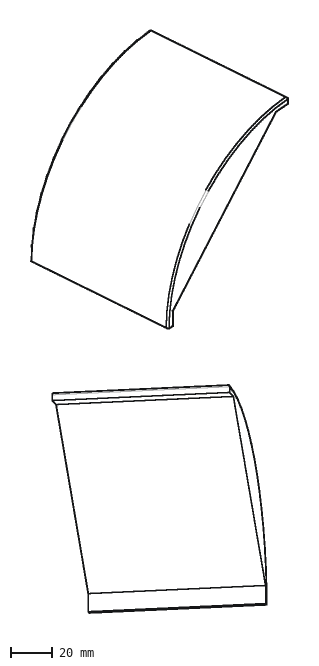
import cadquery as cq

width = 88.0
radius = 90.0
edge_fillet = 1.0
lip_thickness = 4.0
lip_length = 9.0

lip_inner_face = radius - lip_thickness

section = (
    cq.Workplane("YZ")
    .moveTo(0, radius)
    .radiusArc((-radius, 0), -radius)
    .lineTo(-lip_inner_face, 0)
    .lineTo(-lip_inner_face, lip_length)
    .lineTo(-lip_length, lip_inner_face)
    .lineTo(0, lip_inner_face)
    .close()
)
body = section.extrude(width / 2, both=True)

result = body.faces("%CYLINDER").edges().fillet(edge_fillet)